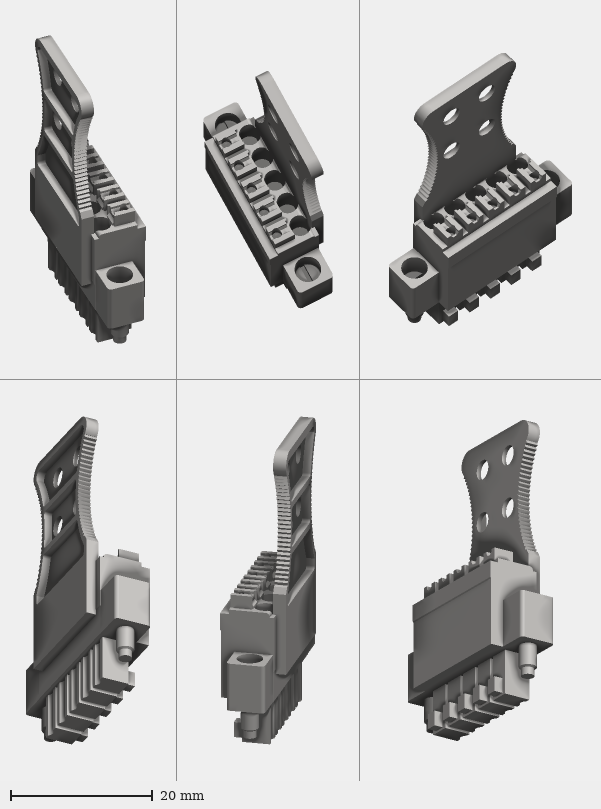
import cadquery as cq
import math


POLES = 5
PITCH = 3.81

BODY_HALF_WIDTH = 9.9
BODY_FRONT = -2.86
BODY_TOP = 13.37
BACK_RIB = 4.92
BACK_RIB_STEP = 0.15
BACK_RIB_BOTTOM = 10.2
SHOULDER_TOP = 12.7
LIP_FRONT = -2.94
LIP_BOTTOM = 4.6
TOP_EDGE_RADIUS = 0.55
TOP_EDGE_FRONT = -2.3

FLANGE_HALF_LENGTH = 14.72
FLANGE_HALF_DEPTH = 2.8
FLANGE_HEIGHT = 7.1
FLANGE_CORNER_RADIUS = 0.57

SLEEVE_WIDTH = 3.1
SLEEVE_FRONT = -2.18
SLEEVE_BACK = 1.92
SLEEVE_LENGTH = 6.7
SLEEVE_GROOVE_WIDTH = 1.7
SLEEVE_GROOVE_DEPTH = 0.4
KEY_WIDTH = 1.7
KEY_BACK = 3.27
KEY_TOP = -4.1
KEY_BOTTOM = -6.36

WIRE_HOLE_RADIUS = 1.53
WIRE_HOLE_Y = -1.09

LEVER_WIDTH = 2.8
LEVER_FRONT = 0.48
LEVER_BACK = 3.62
LEVER_TOP = 15.3
LEVER_FLOOR = 8.0
FOOT_WIDTH = 2.06
FOOT_FRONT = 0.3
LEDGE_BACK = 0.74
LEDGE_TOP = 14.05
LEDGE_DROP = 0.35
GROOVE_WIDTH = 1.24
GROOVE_FLOOR_WIDTH = 0.64
GROOVE_WALL_DEPTH = 0.35
GROOVE_DEPTH = 0.75
TEST_HOLE_RADIUS = 0.74
TEST_HOLE_Y = 2.6
TEST_HOLE_DEPTH = 2.0

SCREW_X = 12.07
HEAD_RADIUS = 1.88
HEAD_BOTTOM = 2.0
HEAD_TOP = 4.0
HEAD_EDGE_RADIUS = 0.35
DRIVE_SLOT_WIDTH = 0.66
DRIVE_SLOT_DEPTH = 0.8
SHANK_RADIUS = 1.285
SHANK_END = -3.28
TIP_RADIUS = 0.96
TIP_START = -3.53
TIP_END = -4.63

GRIP_HALF_WIDTH = 8.57
GRIP_FRONT = -4.38
GRIP_BACK = -2.48
GRIP_BOTTOM = 3.78
GRIP_TOP = 36.9
GRIP_CORNER_RADIUS = 2.0
GRIP_SHOULDER_Z = 15.85
WAIST_Z = 24.9
WAIST_HALF_WIDTH = 6.0
TOOTH_TIP_RADIUS = 17.5
TOOTH_DEPTH = 0.31
TOOTH_COUNT = 27
TOOTH_ANGLE = 2.14
WINDOW_DEPTH = 1.2
WINDOW_WAIST_HALF_WIDTH = 5.03
WINDOW_MAX_HALF_WIDTH = 7.68
WINDOW_RADIUS = 0.5
TOP_WINDOW_RADIUS = 1.05
TOP_WINDOW = (28.68, 35.6)
MIDDLE_WINDOW = (21.75, 27.75)
LOWER_WINDOW = (13.73, 20.83)
GRIP_HOLE_RADIUS = 1.48
GRIP_HOLE_X = 3.22
GRIP_HOLE_HEIGHTS = (24.75, 32.75)

POLE_XS = [(i - (POLES - 1) / 2) * PITCH for i in range(POLES)]
SCREW_XS = (-SCREW_X, SCREW_X)
ARC_CENTER_X = WAIST_HALF_WIDTH + TOOTH_TIP_RADIUS


def block(width, y_range, z_range, x=0.0):
    """Box centred on x, spanning the given Y and Z ranges."""
    y0, y1 = y_range
    z0, z1 = z_range
    return (
        cq.Workplane("XY")
        .box(width, y1 - y0, z1 - z0, centered=(True, False, False))
        .translate((x, y0, z0))
    )


def cylinder(radius, x, y, z_range):
    """Upright cylinder spanning the given Z range."""
    z0, z1 = z_range
    return cq.Workplane("XY", origin=(x, y, z0)).circle(radius).extrude(z1 - z0)



def make_screw(x):
    """Slotted screw with a rounded head rim and a stepped dog point."""
    head = cylinder(HEAD_RADIUS, x, 0, (HEAD_BOTTOM, HEAD_TOP)).faces(">Z").edges().fillet(HEAD_EDGE_RADIUS)
    shank = (
        cq.Workplane("XZ", origin=(x, 0, 0))
        .moveTo(0, HEAD_BOTTOM)
        .lineTo(SHANK_RADIUS, HEAD_BOTTOM)
        .lineTo(SHANK_RADIUS, SHANK_END)
        .lineTo(TIP_RADIUS, TIP_START)
        .lineTo(TIP_RADIUS, TIP_END)
        .lineTo(0, TIP_END)
        .close()
        .revolve(360, (0, 0), (0, 1))
    )
    half_slot = DRIVE_SLOT_WIDTH / 2
    slot = block(2 * HEAD_RADIUS, (-half_slot, half_slot), (HEAD_TOP - DRIVE_SLOT_DEPTH, HEAD_TOP), x)
    return head.union(shank).cut(slot)



def lever_blank(x, top, foot_top):
    """Lever block with its foot standing out at the front."""
    body = block(LEVER_WIDTH, (LEVER_FRONT, LEVER_BACK), (LEVER_FLOOR, top), x)
    foot = block(FOOT_WIDTH, (FOOT_FRONT, LEDGE_BACK), (LEVER_FLOOR, foot_top), x)
    return body.union(foot)


def lever_groove(x):
    """Groove along the lever top, with straight upper walls and a tapered bottom."""
    half_top = GROOVE_WIDTH / 2
    half_floor = GROOVE_FLOOR_WIDTH / 2
    wall_end = LEVER_TOP - GROOVE_WALL_DEPTH
    floor = LEVER_TOP - GROOVE_DEPTH
    return (
        cq.Workplane("XZ", origin=(x, LEVER_BACK, 0))
        .polyline([
            (-half_top, LEVER_TOP), (-half_top, wall_end), (-half_floor, floor),
            (half_floor, floor), (half_top, wall_end), (half_top, LEVER_TOP),
        ])
        .close()
        .extrude(LEVER_BACK - LEVER_FRONT)
    )


def make_lever(x):
    """Push lever with a front recess above its sloping foot, a top groove and a test hole."""
    recess = (
        cq.Workplane("YZ", origin=(x - FOOT_WIDTH / 2, 0, 0))
        .polyline([
            (LEDGE_BACK, LEVER_TOP), (LEDGE_BACK, LEDGE_TOP),
            (FOOT_FRONT, LEDGE_TOP - LEDGE_DROP), (FOOT_FRONT, LEVER_TOP),
        ])
        .close()
        .extrude(FOOT_WIDTH)
    )
    test_hole = cylinder(TEST_HOLE_RADIUS, x, TEST_HOLE_Y, (LEVER_TOP - TEST_HOLE_DEPTH, LEVER_TOP))
    return lever_blank(x, LEVER_TOP, LEDGE_TOP).cut(recess).cut(lever_groove(x)).cut(test_hole)



def housing_block():
    """Main block, extruded along X from its side profile."""
    back = BACK_RIB - BACK_RIB_STEP
    edge_start_y = TOP_EDGE_FRONT + TOP_EDGE_RADIUS
    edge_end_z = BODY_TOP - TOP_EDGE_RADIUS
    edge_mid = TOP_EDGE_RADIUS * math.sqrt(0.5)
    return (
        cq.Workplane("YZ", origin=(-BODY_HALF_WIDTH, 0, 0))
        .moveTo(BODY_FRONT, 0)
        .lineTo(back, 0)
        .lineTo(back, BACK_RIB_BOTTOM - BACK_RIB_STEP)
        .lineTo(BACK_RIB, BACK_RIB_BOTTOM)
        .lineTo(BACK_RIB, SHOULDER_TOP)
        .lineTo(LEVER_BACK, SHOULDER_TOP)
        .lineTo(LEVER_BACK, BODY_TOP)
        .lineTo(edge_start_y, BODY_TOP)
        .threePointArc((edge_start_y - edge_mid, edge_end_z + edge_mid), (TOP_EDGE_FRONT, edge_end_z))
        .lineTo(TOP_EDGE_FRONT, SHOULDER_TOP)
        .lineTo(LIP_FRONT, SHOULDER_TOP)
        .lineTo(LIP_FRONT, LIP_BOTTOM)
        .lineTo(BODY_FRONT, LIP_BOTTOM)
        .close()
        .extrude(2 * BODY_HALF_WIDTH)
    )


def flange_bar():
    """Bar through the block that forms both screw flanges."""
    bar = block(2 * FLANGE_HALF_LENGTH, (-FLANGE_HALF_DEPTH, FLANGE_HALF_DEPTH), (0, FLANGE_HEIGHT))
    return bar.edges("|Z").fillet(FLANGE_CORNER_RADIUS)


def contact_sleeve(x):
    """Sleeve below the housing with a shallow round groove in front and a key behind."""
    half_width = SLEEVE_WIDTH / 2
    half_groove = SLEEVE_GROOVE_WIDTH / 2
    sleeve = (
        cq.Workplane("XY", origin=(x, 0, -SLEEVE_LENGTH))
        .moveTo(-half_width, SLEEVE_BACK)
        .lineTo(-half_width, SLEEVE_FRONT)
        .lineTo(-half_groove, SLEEVE_FRONT)
        .threePointArc((0, SLEEVE_FRONT + SLEEVE_GROOVE_DEPTH), (half_groove, SLEEVE_FRONT))
        .lineTo(half_width, SLEEVE_FRONT)
        .lineTo(half_width, SLEEVE_BACK)
        .close()
        .extrude(SLEEVE_LENGTH)
    )
    return sleeve.union(block(KEY_WIDTH, (SLEEVE_BACK, KEY_BACK), (KEY_BOTTOM, KEY_TOP), x))


def make_housing():
    housing = housing_block().union(flange_bar())
    for x in POLE_XS:
        housing = housing.union(contact_sleeve(x))
    for x in POLE_XS:
        housing = housing.cut(cylinder(WIRE_HOLE_RADIUS, x, WIRE_HOLE_Y, (LEVER_FLOOR, BODY_TOP)))
        housing = housing.cut(lever_blank(x, BODY_TOP, BODY_TOP))
    for x in SCREW_XS:
        housing = housing.cut(cylinder(HEAD_RADIUS, x, 0, (HEAD_BOTTOM, FLANGE_HEIGHT)))
        housing = housing.cut(cylinder(SHANK_RADIUS, x, 0, (0, HEAD_BOTTOM)))
    seat = block(2 * GRIP_HALF_WIDTH, (GRIP_FRONT, GRIP_BACK), (GRIP_BOTTOM, BODY_TOP))
    return housing.cut(seat)



def arc_point(radius, degrees):
    """Point on the right-hand waist arc; positive angles lie above the waist."""
    angle = math.radians(degrees)
    return ARC_CENTER_X - radius * math.cos(angle), WAIST_Z + radius * math.sin(angle)


def toothed_edge():
    """Right-hand serrated edge from bottom to top: tips with a valley after each."""
    points = []
    for i in range(TOOTH_COUNT):
        tip_angle = (i - (TOOTH_COUNT - 1) / 2) * TOOTH_ANGLE
        points.append(arc_point(TOOTH_TIP_RADIUS, tip_angle))
        points.append(arc_point(TOOTH_TIP_RADIUS + TOOTH_DEPTH, tip_angle + TOOTH_ANGLE / 2))
    return points


def grip_plate():
    """Grip outline, drawn as the right half and mirrored."""
    corner_x = GRIP_HALF_WIDTH - GRIP_CORNER_RADIUS
    corner_z = GRIP_TOP - GRIP_CORNER_RADIUS
    corner_offset = GRIP_CORNER_RADIUS * math.sqrt(0.5)
    half = (
        cq.Workplane("XZ", origin=(0, GRIP_BACK, 0))
        .moveTo(0, GRIP_BOTTOM)
        .lineTo(GRIP_HALF_WIDTH, GRIP_BOTTOM)
        .lineTo(GRIP_HALF_WIDTH, GRIP_SHOULDER_Z)
        .polyline(toothed_edge(), includeCurrent=True)
        .lineTo(corner_x + corner_offset, corner_z - corner_offset)
        .threePointArc((GRIP_HALF_WIDTH, corner_z), (corner_x, GRIP_TOP))
        .lineTo(0, GRIP_TOP)
        .close()
        .extrude(GRIP_BACK - GRIP_FRONT)
    )
    return half.union(half.mirror("YZ"))


def window(z_range, upper_radius):
    """Blind window between two waist-following sides, with rounded corners."""
    z0, z1 = z_range
    depth_range = (GRIP_FRONT, GRIP_FRONT + WINDOW_DEPTH)
    pocket = block(2 * WINDOW_MAX_HALF_WIDTH, depth_range, z_range)
    side_radius = ARC_CENTER_X - WINDOW_WAIST_HALF_WIDTH
    for side in (-1, 1):
        side_cylinder = (
            cq.Workplane("XZ", origin=(side * ARC_CENTER_X, GRIP_FRONT + WINDOW_DEPTH, WAIST_Z))
            .circle(side_radius)
            .extrude(WINDOW_DEPTH)
        )
        pocket = pocket.cut(side_cylinder)
    span = 2 * WINDOW_MAX_HALF_WIDTH
    corner = WINDOW_RADIUS / 2
    upper = cq.selectors.BoxSelector((-span, GRIP_FRONT, z1 - corner), (span, GRIP_BACK, z1 + corner))
    lower = cq.selectors.BoxSelector((-span, GRIP_FRONT, z0 - corner), (span, GRIP_BACK, z0 + corner))
    pocket = pocket.edges("|Y").edges(upper).fillet(upper_radius)
    return pocket.edges("|Y").edges(lower).fillet(WINDOW_RADIUS)


def make_grip():
    grip = grip_plate()
    grip = grip.cut(window(TOP_WINDOW, TOP_WINDOW_RADIUS))
    grip = grip.cut(window(MIDDLE_WINDOW, WINDOW_RADIUS))
    grip = grip.cut(window(LOWER_WINDOW, WINDOW_RADIUS))
    holes = (
        cq.Workplane("XZ", origin=(0, GRIP_BACK, 0))
        .pushPoints([(x, z) for x in (-GRIP_HOLE_X, GRIP_HOLE_X) for z in GRIP_HOLE_HEIGHTS])
        .circle(GRIP_HOLE_RADIUS)
        .extrude(GRIP_BACK - GRIP_FRONT)
    )
    return grip.cut(holes)


housing = make_housing()
grip = make_grip()
screws = [make_screw(x) for x in SCREW_XS]
levers = [make_lever(x) for x in POLE_XS]

result = cq.Compound.makeCompound([
    housing.solids().val(),
    grip.solids().val(),
    *[screw.solids().val() for screw in screws],
    *[lever.solids().val() for lever in levers],
])